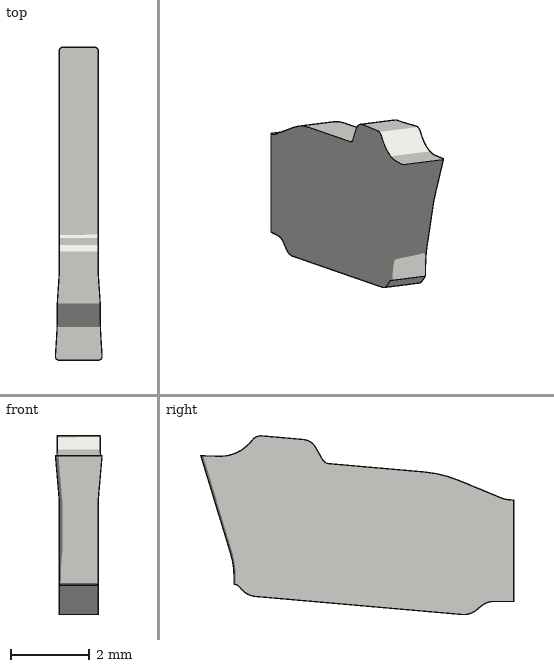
import cadquery as cq
import math

length = 8.0
body_width = 1.0
seat_angle = 5.0
edge_round = 0.1

hinge_top = (2.25, 4.53)
hinge_front = (0.38, 2.86)
flare_slope = 0.092

tip_height = 4.06
groove_corner = (0.95, 4.04)
peak = (1.42, 4.58)
step_top_y = 2.83
step_foot = (3.17, 3.87)
rear_slope_y = 6.17
rear_land = (7.76, 2.95)
rear_top = 2.93
rear_bottom = 0.34
heel_y = 7.31
seat_rear = (6.88, -0.02)
seat_front_y = 1.21
lip_inner = (0.94, 0.75)
lip_outer = (0.85, 0.78)
front_bend_z = 1.28

front_bend_radius = 2.0
groove_radius = 1.0
peak_radius = 0.28
step_top_radius = 0.4
step_foot_radius = 0.2
rear_slope_radius = 3.0
blend_radius = 0.5


def on_seat_slope(start, y):
    """Point at y on a line through start that falls toward the rear."""
    drop = (y - start[0]) * math.tan(math.radians(seat_angle))
    return (y, start[1] - drop)


def rounded_outline(corners):
    """Closed YZ outline of (point, radius) corners with tangent arcs; radius 0 stays sharp."""
    first_point = corners[0][0]
    outline = cq.Workplane("YZ").moveTo(*first_point)
    for i in range(1, len(corners)):
        point, radius = corners[i]
        if radius == 0:
            outline = outline.lineTo(*point)
            continue
        corner = cq.Vector(*point)
        following = corners[(i + 1) % len(corners)][0]
        back = (cq.Vector(*corners[i - 1][0]) - corner).normalized()
        ahead = (cq.Vector(*following) - corner).normalized()
        half_angle = back.getAngle(ahead) / 2
        setback = radius / math.tan(half_angle)
        start = corner + back * setback
        end = corner + ahead * setback
        bisector = (back + ahead).normalized()
        middle = corner + bisector * (radius / math.sin(half_angle) - radius)
        outline = outline.lineTo(start.x, start.y)
        outline = outline.threePointArc((middle.x, middle.y), (end.x, end.y))
    return outline.close()


def side_profile(half_width):
    """Block with the insert's side outline, centred across X."""
    corners = [
        ((0, tip_height), 0),
        (groove_corner, groove_radius),
        (peak, peak_radius),
        (on_seat_slope(peak, step_top_y), step_top_radius),
        (step_foot, step_foot_radius),
        (on_seat_slope(step_foot, rear_slope_y), rear_slope_radius),
        (rear_land, blend_radius),
        ((length, rear_top), 0),
        ((length, rear_bottom), 0),
        ((heel_y, rear_bottom), blend_radius),
        (seat_rear, blend_radius),
        (on_seat_slope(seat_rear, seat_front_y), blend_radius),
        (lip_inner, 0),
        (lip_outer, 0),
        ((lip_outer[0], front_bend_z), front_bend_radius),
    ]
    return rounded_outline(corners).extrude(half_width, both=True)


def flare_envelope():
    """Trapezoidal bar along the hinge line, widening from the hinge toward the tip."""
    along = cq.Vector(0, hinge_top[0] - hinge_front[0], hinge_top[1] - hinge_front[1])
    hinge_plane = cq.Plane(origin=(0, *hinge_front), xDir=(-1, 0, 0), normal=along.toTuple())
    reach = length
    narrow = body_width / 2
    wide = narrow + flare_slope * reach
    section = [(-narrow, 0), (narrow, 0), (wide, reach), (-wide, reach)]
    return cq.Workplane(hinge_plane).polyline(section).close().extrude(reach, both=True)


def round_rear(part):
    return part.faces(">Y").edges("|Z").fillet(edge_round)


def round_front(part):
    """Round both side edges of the front face, from the lip up to the tip."""
    margin = 0.04
    front_region = cq.selectors.BoxSelector(
        (-length, -margin, lip_outer[1]),
        (length, lip_outer[0] + margin, tip_height - margin),
    )
    return part.edges("not |X").edges(front_region).fillet(edge_round)


body = round_front(round_rear(side_profile(body_width / 2)))
head = round_front(side_profile(length).intersect(flare_envelope()))
result = body.union(head)